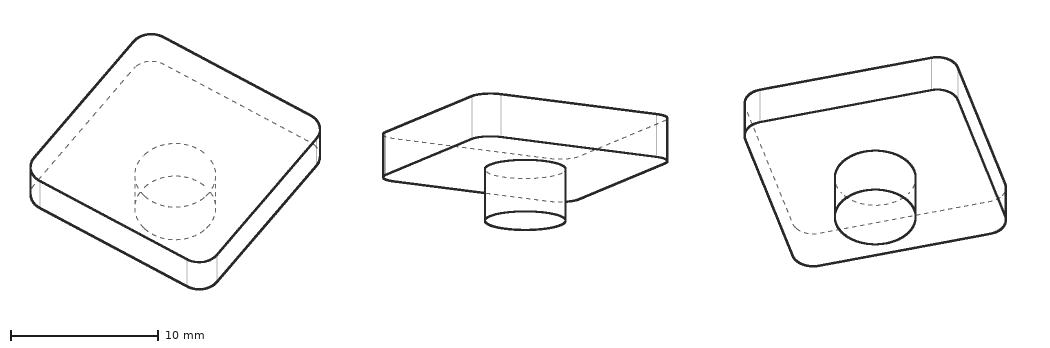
import cadquery as cq

plate_side = 15.0
plate_thickness = 3.0
corner_radius = 1.45

total_height = 6.6
stem_diameter = 5.5
stem_length = total_height - plate_thickness

plate = (
    cq.Workplane("XY")
    .rect(plate_side, plate_side)
    .extrude(plate_thickness)
    .edges("|Z")
    .fillet(corner_radius)
)

stem = cq.Workplane("XY").circle(stem_diameter / 2).extrude(-stem_length)

result = plate.union(stem)